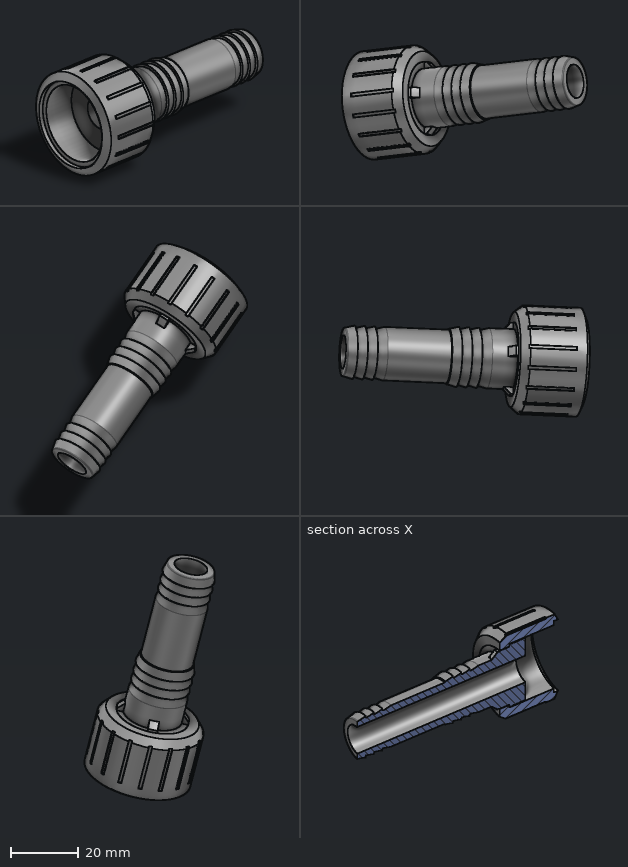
import cadquery as cq


total_length = 72.1
bore_diameter = 10.0

nut_diameter = 32.5
nut_length = 21.0
mouth_diameter = 27.2
mouth_chamfer_length = 1.2
mouth_recess_depth = 1.5
nut_bore_diameter = 24.1
nut_back_diameter = 28.4
nut_back_chamfer_length = 2.6
nut_back_wall = 3.6

groove_count = 16
groove_width = 1.0
groove_depth = 0.35
groove_start = 4.4
groove_end = 18.8

flange_diameter = 24.0
flange_face = 11.75
collar_diameter = 22.0
barb_pitch = 3.0
barb_count = 4
barb_step_length = 0.18
large_diameter = 18
large_barb_root = 16.6
large_barbs_start = 28.6
small_diameter = 16.0
small_barb_root = 14.6
tip_land = 0.3
tip_fillet = 0.2
small_barbs_start = total_length - barb_count * barb_pitch

gusset_width = 2.95
gusset_land_end = 21.85
gusset_tip = gusset_land_end + (collar_diameter - large_diameter) / 2

flange_seat = nut_length - nut_back_wall


def revolve_about_axis(outline):
    """Revolve (radius, Y) points about the Y axis."""
    return cq.Workplane("XY").polyline(outline).close().revolve(360, (0, 0, 0), (0, 1, 0))


def barb_outline(start, crest_diameter, root_diameter, last_step_length):
    """Points of one row of barbs, each tapering towards +Y from its crest to its root.

    A short step after each root leads to the next crest, and the last step ends the row.
    """
    points = []
    for i in range(barb_count):
        crest = start + i * barb_pitch
        is_last = i == barb_count - 1
        step_length = last_step_length if is_last else barb_step_length
        root = crest + barb_pitch - step_length
        points.append((crest_diameter / 2, crest))
        points.append((root_diameter / 2, root))
    return points


def make_nut():
    nut = revolve_about_axis([
        (mouth_diameter / 2, 0),
        (nut_diameter / 2, mouth_chamfer_length),
        (nut_diameter / 2, nut_length - nut_back_chamfer_length),
        (nut_back_diameter / 2, nut_length),
        (collar_diameter / 2, nut_length),
        (collar_diameter / 2, flange_seat),
        (nut_bore_diameter / 2, flange_seat),
        (nut_bore_diameter / 2, mouth_recess_depth),
        (mouth_diameter / 2, mouth_recess_depth),
    ])
    groove = cq.Workplane("XY").box(
        groove_width,
        groove_end - groove_start,
        2 * groove_depth,
    ).translate((0, (groove_start + groove_end) / 2, nut_diameter / 2))
    for i in range(groove_count):
        nut = nut.cut(groove.rotate((0, 0, 0), (0, 1, 0), i * 360 / groove_count))
    return nut


def make_gussets():
    """Ring with a sloped shoulder, kept only where slabs along X and Z cross it."""
    root_radius = (bore_diameter + large_diameter) / 4
    ring = revolve_about_axis([
        (root_radius, nut_length),
        (collar_diameter / 2, nut_length),
        (collar_diameter / 2, gusset_land_end),
        (large_diameter / 2, gusset_tip),
        (root_radius, gusset_tip),
    ])
    slab = cq.Workplane("XY").box(collar_diameter, 2 * gusset_tip, gusset_width)
    cross = slab.union(slab.rotate((0, 0, 0), (0, 1, 0), 90))
    return ring.intersect(cross)


def make_hose_tail():
    tail = revolve_about_axis([
        (bore_diameter / 2, flange_face),
        (flange_diameter / 2, flange_face),
        (flange_diameter / 2, flange_seat),
        (collar_diameter / 2, flange_seat),
        (collar_diameter / 2, nut_length),
        (large_diameter / 2, nut_length),
        *barb_outline(large_barbs_start, large_diameter, large_barb_root, barb_step_length),
        (small_diameter / 2, large_barbs_start + barb_count * barb_pitch),
        *barb_outline(small_barbs_start, small_diameter, small_barb_root, tip_land),
        (small_barb_root / 2, total_length),
        (bore_diameter / 2, total_length),
    ])
    tip_rim = cq.selectors.RadiusNthSelector(-1)
    tail = tail.faces(">Y").edges(tip_rim).fillet(tip_fillet)
    return tail.union(make_gussets())


nut = make_nut()
hose_tail = make_hose_tail()
result = cq.Compound.makeCompound([nut.solids().val(), hose_tail.solids().val()])